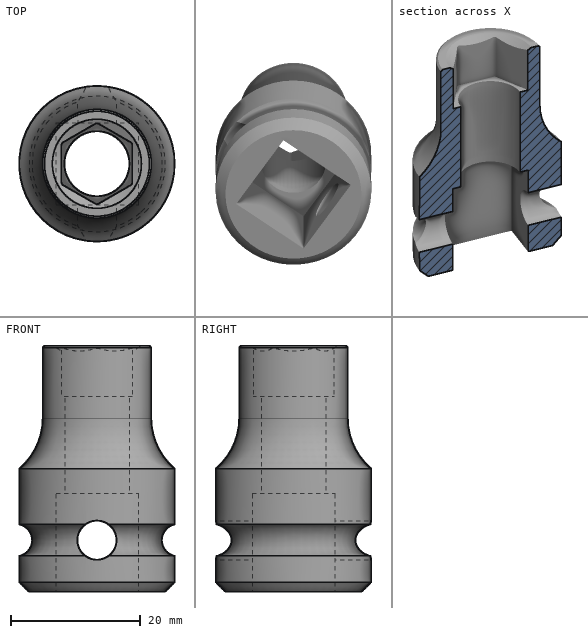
import cadquery as cq
import math

height = 38.0
body_radius = 12.0
neck_radius = 8.4
shoulder_z = 19.0
flare_top_z = 26.8
base_chamfer = 1.52
top_chamfer = 0.3

groove_z = 7.98
groove_half_width = 2.45
groove_depth = 1.98
pin_hole_diameter = 6.0

hex_across_flats = 10.95
hex_corner_radius = 0.57
hex_depth = 7.8
lead_in_diameter = 13.75
lead_in_angle = 30.0
bore_diameter = 10.0

square_side = 12.7
square_depth = 15.2


def flare_midpoint():
    """Middle of the concave flare, an arc that leaves the neck parallel to the axis."""
    rise = flare_top_z - shoulder_z
    spread = body_radius - neck_radius
    radius = (rise**2 + spread**2) / (2 * spread)
    half_sweep = math.asin(rise / radius) / 2
    return (
        neck_radius + radius * (1 - math.cos(half_sweep)),
        flare_top_z - radius * math.sin(half_sweep),
    )


def make_body():
    """Revolve the outer profile around Z."""
    return (
        cq.Workplane("XZ")
        .lineTo(body_radius - base_chamfer, 0)
        .lineTo(body_radius, base_chamfer)
        .lineTo(body_radius, groove_z - groove_half_width)
        .threePointArc(
            (body_radius - groove_depth, groove_z),
            (body_radius, groove_z + groove_half_width),
        )
        .lineTo(body_radius, shoulder_z)
        .threePointArc(flare_midpoint(), (neck_radius, flare_top_z))
        .lineTo(neck_radius, height - top_chamfer)
        .lineTo(neck_radius - top_chamfer, height)
        .lineTo(0, height)
        .close()
        .revolve(360, (0, 0, 0), (0, 1, 0))
    )


def make_hex_socket():
    """Hexagonal prism with rounded corners; its corners point along Y."""
    corner_diameter = hex_across_flats / math.cos(math.radians(30))
    return (
        cq.Workplane("XY", origin=(0, 0, height - hex_depth))
        .transformed(rotate=(0, 0, 90))
        .polygon(6, corner_diameter)
        .extrude(hex_depth)
        .edges("|Z")
        .fillet(hex_corner_radius)
    )


def make_lead_in():
    """Cone that opens the mouth of the hexagon."""
    radius = lead_in_diameter / 2
    depth = radius * math.tan(math.radians(lead_in_angle))
    return cq.Workplane(cq.Solid.makeCone(0, radius, depth, cq.Vector(0, 0, height - depth)))


def make_bore():
    return cq.Workplane("XY").circle(bore_diameter / 2).extrude(height)


def make_square_drive():
    return cq.Workplane("XY").rect(square_side, square_side).extrude(square_depth)


def make_pin_hole():
    """Hole along Y through both walls at the level of the groove."""
    return (
        cq.Workplane("XZ", origin=(0, 0, groove_z))
        .circle(pin_hole_diameter / 2)
        .extrude(body_radius, both=True)
    )


result = (
    make_body()
    .cut(make_hex_socket())
    .cut(make_lead_in())
    .cut(make_bore())
    .cut(make_square_drive())
    .cut(make_pin_hole())
)